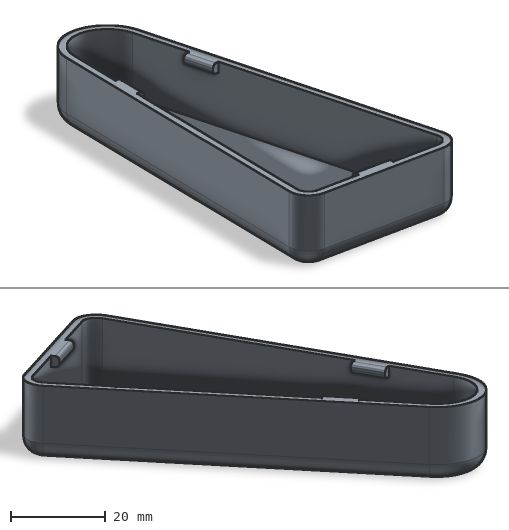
import cadquery as cq
import math

length = 96.0
width = 44.1
height = 17.0
nose_radius = 10.5
corner_radius = 5.0
nose_offset = 1.2

wall = 1.9
floor = 2.0
bottom_fillet = 4.0

lug_reach = 1.8
lug_height = 2.5
lug_fillet = 1.0
side_lug_length = 8.0
upper_side_lug_x = 27.8
lower_side_lug_x = 28.1
back_lug_length = 10.0
back_lug_y = -0.6

nose_center = (nose_radius, -nose_offset)
corner_x = length - corner_radius
corner_y = width / 2 - corner_radius


def side_normal_angle(side):
    """Direction of the outward normal of the +Y (1) or -Y (-1) side wall, in radians."""
    run = corner_x - nose_center[0]
    rise = side * corner_y - nose_center[1]
    center_distance = math.hypot(run, rise)
    tilt = math.acos((nose_radius - corner_radius) / center_distance)
    return math.atan2(rise, run) + side * tilt


def on_circle(center, radius, angle):
    return (center[0] + radius * math.cos(angle), center[1] + radius * math.sin(angle))


def make_outline():
    upper_angle = side_normal_angle(1)
    lower_angle = side_normal_angle(-1)
    upper_corner = (corner_x, corner_y)
    lower_corner = (corner_x, -corner_y)
    return (
        cq.Workplane("XY")
        .moveTo(*on_circle(nose_center, nose_radius, upper_angle))
        .threePointArc((0, nose_center[1]), on_circle(nose_center, nose_radius, lower_angle))
        .lineTo(*on_circle(lower_corner, corner_radius, lower_angle))
        .threePointArc(on_circle(lower_corner, corner_radius, lower_angle / 2), (length, -corner_y))
        .lineTo(length, corner_y)
        .threePointArc(
            on_circle(upper_corner, corner_radius, upper_angle / 2),
            on_circle(upper_corner, corner_radius, upper_angle),
        )
        .close()
    )


def make_tray():
    body = make_outline().extrude(height).faces("<Z").edges().fillet(bottom_fillet)
    cavity = make_outline().offset2D(-wall).extrude(height).translate((0, 0, floor))
    return body.cut(cavity)


def make_lug(lug_length, wall_point, normal_angle):
    """Round-nosed lug flush with the rim, reaching inward from a point on the outer wall face."""
    root = wall / 2
    depth = wall - root + lug_reach
    return (
        cq.Workplane("XY")
        .box(depth, lug_length, lug_height, centered=(False, True, False))
        .edges("<X and |Y")
        .fillet(lug_fillet)
        .translate((-root - depth, 0, height - lug_height))
        .rotate((0, 0, 0), (0, 0, 1), math.degrees(normal_angle))
        .translate((*wall_point, 0))
    )


def make_side_lug(side, lug_x):
    angle = side_normal_angle(side)
    tangent_x, tangent_y = on_circle(nose_center, nose_radius, angle)
    wall_y = tangent_y - (lug_x - tangent_x) / math.tan(angle)
    return make_lug(side_lug_length, (lug_x, wall_y), angle)


result = make_tray()
for side, lug_x in ((1, upper_side_lug_x), (-1, lower_side_lug_x)):
    result = result.union(make_side_lug(side, lug_x))
result = result.union(make_lug(back_lug_length, (length, back_lug_y), 0))